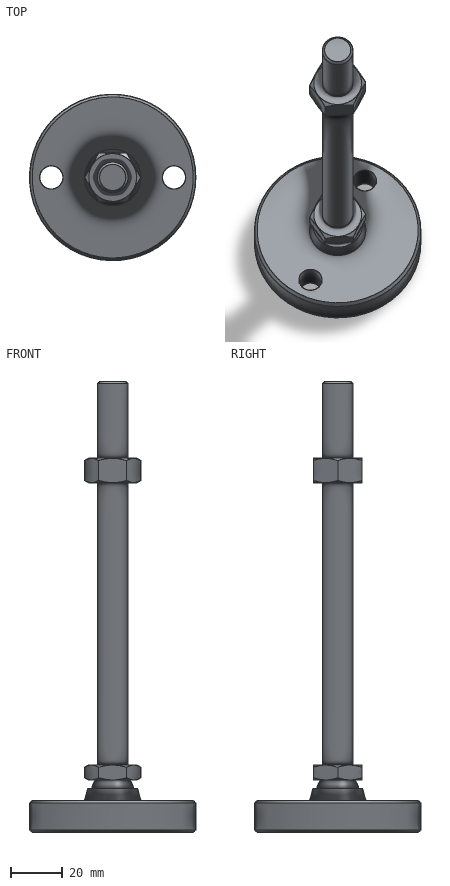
import cadquery as cq
import math

total_height = 176.0

foot_diameter = 65.0
foot_thickness = 12.5
foot_chamfer = 1.0
collar_base_diameter = 22.0
collar_top_diameter = 19.4
collar_height = 4.8
mounting_hole_diameter = 9.0
mounting_hole_spacing = 47.9

ball_radius = 8.5
ball_center_z = 15.3
rod_diameter = 12.0
rod_tip_chamfer = 0.9
rod_base_chamfer = 0.4
wrench_hex_bottom_z = 20.5
wrench_hex_height = 6.0

hex_across_flats = 19.0
hex_across_corners = hex_across_flats / math.cos(math.pi / 6)
hex_face_diameter = 18.7
hex_chamfer_angle = 30.0

nut_height = 9.7
nut_top_z = total_height - 30.0


def chamfered_hexagon(bottom_z, height):
    """Hexagonal prism with corners on X, its corners turned to a cone at both ends."""
    prism = cq.Workplane("XY").workplane(offset=bottom_z).polygon(6, hex_across_corners).extrude(height)
    face_radius = hex_face_diameter / 2
    corner_radius = hex_across_corners / 2
    drop = (corner_radius - face_radius) * math.tan(math.radians(hex_chamfer_angle))
    top_z = bottom_z + height
    turned_envelope = (
        cq.Workplane("XZ")
        .moveTo(0, bottom_z)
        .lineTo(face_radius, bottom_z)
        .lineTo(corner_radius, bottom_z + drop)
        .lineTo(corner_radius, top_z - drop)
        .lineTo(face_radius, top_z)
        .lineTo(0, top_z)
        .close()
        .revolve(360, (0, 0, 0), (0, 1, 0))
    )
    return prism.intersect(turned_envelope)


def make_ball():
    """Ball joint, cut flat where it meets the wrench hexagon."""
    bottom_z = ball_center_z - ball_radius
    neck_radius = math.sqrt(ball_radius**2 - (wrench_hex_bottom_z - ball_center_z) ** 2)
    return (
        cq.Workplane("XZ")
        .moveTo(0, bottom_z)
        .threePointArc((ball_radius, ball_center_z), (neck_radius, wrench_hex_bottom_z))
        .lineTo(0, wrench_hex_bottom_z)
        .close()
        .revolve(360, (0, 0, 0), (0, 1, 0))
    )


def make_foot():
    plate = (
        cq.Workplane("XY")
        .circle(foot_diameter / 2)
        .extrude(foot_thickness)
        .edges()
        .chamfer(foot_chamfer)
    )
    collar = (
        cq.Workplane("XY")
        .workplane(offset=foot_thickness)
        .circle(collar_base_diameter / 2)
        .workplane(offset=collar_height)
        .circle(collar_top_diameter / 2)
        .loft()
    )
    mounting_holes = (
        cq.Workplane("XY")
        .pushPoints([(-mounting_hole_spacing / 2, 0), (mounting_hole_spacing / 2, 0)])
        .circle(mounting_hole_diameter / 2)
        .extrude(foot_thickness)
    )
    return plate.union(collar).cut(mounting_holes).cut(make_ball())


def make_spindle():
    rod_bottom_z = wrench_hex_bottom_z + wrench_hex_height
    rod = (
        cq.Workplane("XY")
        .workplane(offset=rod_bottom_z)
        .circle(rod_diameter / 2)
        .extrude(total_height - rod_bottom_z)
        .faces(">Z")
        .chamfer(rod_tip_chamfer)
        .faces("<Z")
        .chamfer(rod_base_chamfer)
    )
    wrench_hex = chamfered_hexagon(wrench_hex_bottom_z, wrench_hex_height)
    return make_ball().union(wrench_hex).union(rod)


def make_lock_nut():
    bottom_z = nut_top_z - nut_height
    bore = cq.Workplane("XY").workplane(offset=bottom_z).circle(rod_diameter / 2).extrude(nut_height)
    return chamfered_hexagon(bottom_z, nut_height).cut(bore)


foot = make_foot()
spindle = make_spindle()
lock_nut = make_lock_nut()

result = cq.Compound.makeCompound([foot.val(), spindle.val(), lock_nut.val()])